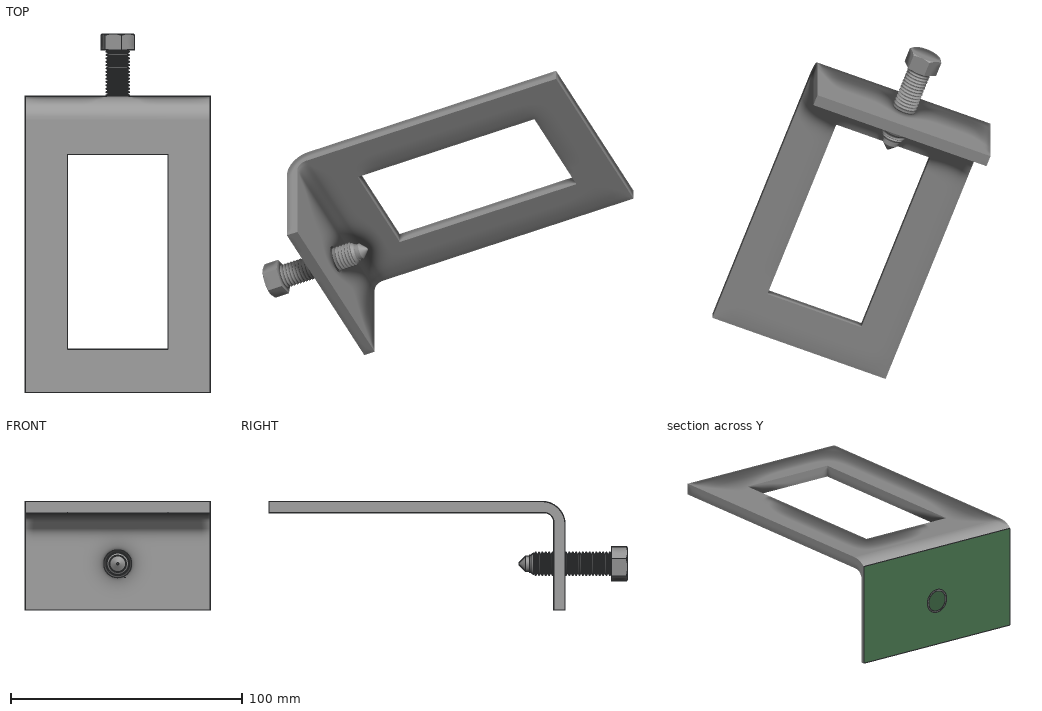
import cadquery as cq
import math

BRACKET_WIDTH = 80.0
BRACKET_LENGTH = 128.0
BRACKET_HEIGHT = 47.0
PLATE_THICKNESS = 5.0
BEND_OUTER_RADIUS = 10.0
BEND_INNER_RADIUS = 4.0

WINDOW_WIDTH = 43.4
WINDOW_LENGTH = 84.0
WINDOW_END_MARGIN = 18.8

OVERALL_LENGTH = 155.0
BOLT_DEPTH = 27.0
BOLT_LENGTH = 47.0
HEAD_SIDES = 6
HEAD_ACROSS_FLATS = 13.2
HEAD_THICKNESS = 7.0
HEAD_TURN = 17.0
HEAD_CHAMFER_ANGLE = 30.0
THREAD_RADIUS = 5.1
THREAD_DEPTH = 1.0
THREAD_PITCH = 1.45
THREAD_COUNT = 23
FIRST_CREST_GAP = 0.6
CREST_WIDTH = THREAD_PITCH / 8
ROOT_WIDTH = THREAD_PITCH / 4
ROOT_RADIUS = THREAD_RADIUS - THREAD_DEPTH

TAPER_START = 40.8
TAPER_LENGTH = 1.1
TAPER_START_RADIUS = 4.6
COLLAR_RADIUS = 3.7
COLLAR_LENGTH = 0.5
NECK_RADIUS = 3.4
POINT_FLAT_RADIUS = 0.5

COUNTERSINK_RADIUS = 6.0

HEAD_BACK_Y = OVERALL_LENGTH - BRACKET_LENGTH


def revolve_about_bolt_axis(half_section, start_y):
    """Turn a half section of (radius, distance toward the tip from start_y) about the bolt axis."""
    section_plane = cq.Plane(origin=(0, start_y, -BOLT_DEPTH), xDir=(1, 0, 0), normal=(0, 0, 1))
    points = [(radius, -distance) for radius, distance in half_section]
    return cq.Workplane(section_plane).polyline(points).close().revolve(360, (0, 0), (0, 1))


def make_plate():
    """Plate bent through a right angle: a long horizontal leg and a short vertical leg."""
    inner_bend_end = PLATE_THICKNESS + BEND_INNER_RADIUS
    return (
        cq.Workplane("YZ")
        .moveTo(0, -BRACKET_HEIGHT)
        .lineTo(0, -BEND_OUTER_RADIUS)
        .radiusArc((-BEND_OUTER_RADIUS, 0), -BEND_OUTER_RADIUS)
        .lineTo(-BRACKET_LENGTH, 0)
        .lineTo(-BRACKET_LENGTH, -PLATE_THICKNESS)
        .lineTo(-inner_bend_end, -PLATE_THICKNESS)
        .radiusArc((-PLATE_THICKNESS, -inner_bend_end), BEND_INNER_RADIUS)
        .lineTo(-PLATE_THICKNESS, -BRACKET_HEIGHT)
        .close()
        .extrude(BRACKET_WIDTH / 2, both=True)
    )


def make_window():
    """Cutter for the rectangular opening through the horizontal leg."""
    center_y = -BRACKET_LENGTH + WINDOW_END_MARGIN + WINDOW_LENGTH / 2
    return (
        cq.Workplane("XY")
        .center(0, center_y)
        .rect(WINDOW_WIDTH, WINDOW_LENGTH)
        .extrude(-PLATE_THICKNESS)
    )


def make_bolt_hole():
    """Cutter for the bolt hole, with a 45 degree countersink on the inner face."""
    countersink_depth = COUNTERSINK_RADIUS - THREAD_RADIUS
    half_section = [
        (0, 0),
        (THREAD_RADIUS, 0),
        (THREAD_RADIUS, PLATE_THICKNESS - countersink_depth),
        (COUNTERSINK_RADIUS, PLATE_THICKNESS),
        (0, PLATE_THICKNESS),
    ]
    return revolve_about_bolt_axis(half_section, 0)


def make_bracket():
    """Bent plate with its window and bolt hole."""
    return make_plate().cut(make_window()).cut(make_bolt_hole())


def make_head():
    """Hexagon head, its back corners trimmed by a cone that just meets the flats."""
    flat_radius = HEAD_ACROSS_FLATS / 2
    corner_radius = flat_radius / math.cos(math.pi / HEAD_SIDES)
    chamfer_depth = (corner_radius - flat_radius) * math.tan(math.radians(HEAD_CHAMFER_ANGLE))
    back_plane = cq.Plane(origin=(0, HEAD_BACK_Y, -BOLT_DEPTH), xDir=(1, 0, 0), normal=(0, -1, 0))
    hexagon = (
        cq.Workplane(back_plane)
        .transformed(rotate=(0, 0, HEAD_TURN))
        .polygon(HEAD_SIDES, 2 * corner_radius)
        .extrude(HEAD_THICKNESS)
    )
    chamfer_envelope = [
        (0, 0),
        (flat_radius, 0),
        (corner_radius, chamfer_depth),
        (corner_radius, HEAD_THICKNESS),
        (0, HEAD_THICKNESS),
    ]
    return hexagon.intersect(revolve_about_bolt_axis(chamfer_envelope, HEAD_BACK_Y))


def make_shank():
    """Shank with ring-shaped threads, a tapering collar, a plain neck and a blunt point."""
    flank_width = (THREAD_PITCH - CREST_WIDTH - ROOT_WIDTH) / 2
    half_section = [(0, HEAD_THICKNESS), (ROOT_RADIUS, HEAD_THICKNESS)]
    for ring in range(THREAD_COUNT):
        crest_start = HEAD_THICKNESS + FIRST_CREST_GAP + ring * THREAD_PITCH
        crest_end = crest_start + CREST_WIDTH
        half_section += [
            (ROOT_RADIUS, crest_start - flank_width),
            (THREAD_RADIUS, crest_start),
            (THREAD_RADIUS, crest_end),
            (ROOT_RADIUS, crest_end + flank_width),
        ]
    collar_start = TAPER_START + TAPER_LENGTH
    collar_end = collar_start + COLLAR_LENGTH
    point_start = BOLT_LENGTH - (NECK_RADIUS - POINT_FLAT_RADIUS)
    half_section += [
        (TAPER_START_RADIUS, TAPER_START),
        (COLLAR_RADIUS, collar_start),
        (COLLAR_RADIUS, collar_end),
        (NECK_RADIUS, collar_end),
        (NECK_RADIUS, point_start),
        (POINT_FLAT_RADIUS, BOLT_LENGTH),
        (0, BOLT_LENGTH),
    ]
    return revolve_about_bolt_axis(half_section, HEAD_BACK_Y)


def make_bolt():
    """Hexagon head and threaded shank in one piece."""
    return make_head().union(make_shank())


bracket = make_bracket()
bolt = make_bolt()
result = cq.Compound.makeCompound([bracket.val(), bolt.val()])